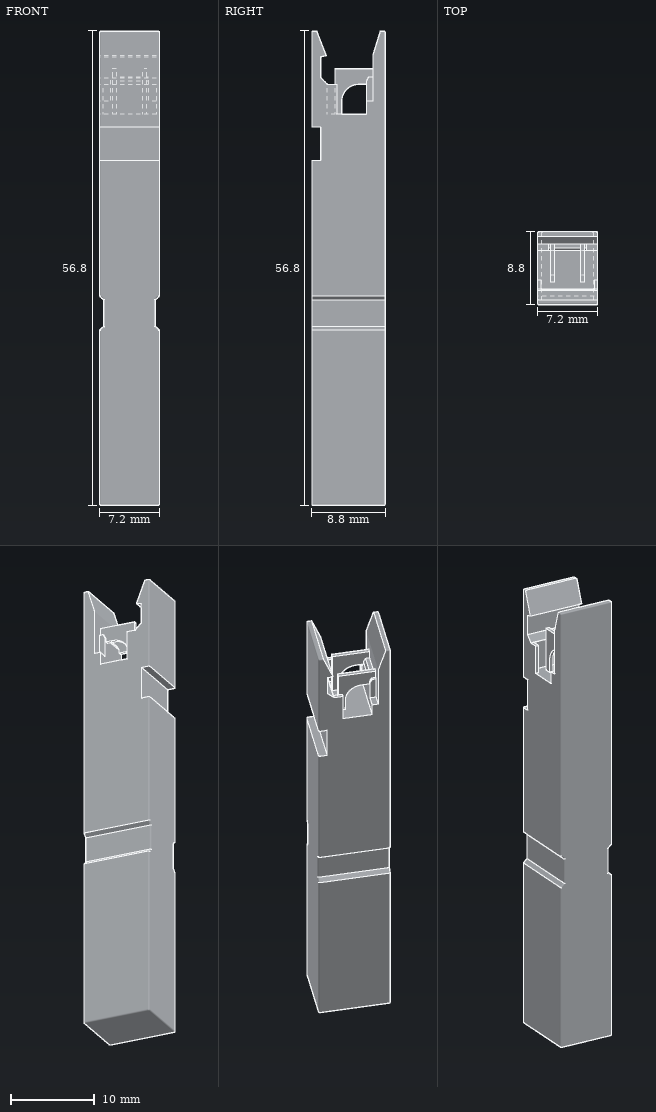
import cadquery as cq

width = 7.2
depth = 8.8
height = 56.8
edge_radius = 0.2

waist_bottom = 21.0
waist_top = 25.05
waist_depth = 0.5
waist_end_rise = 0.45

groove_bottom = 41.3
groove_height = 4.0
groove_depth = 1.05

lip_thickness = 0.6
back_wall_y = 2.9
back_slope_z = height - 2.9
ledge_y = 2.15
ledge_z = height - 8.4
floor_z = height - 9.95
cheek_edge_y = -1.4
shoulder_z = height - 6.4
front_wall_y = -3.3
shoulder_chamfer = 0.8
hook_tip_y = -2.65
hook_tip_z = height - 2.95
hook_underside_drop = 0.15

chamber_width = 6.4
chamber_front_y = -2.55

block_width = 4.6
block_top_z = height - 5.5
bevel_run = 0.25
bevel_drop = 0.5

fin_thickness = 0.45
fin_spacing = 3.6
fin_front_y = -1.65
fin_top_z = height - 4.5
window_front_y = -0.8
window_radius = 2.0


def box(x_range, y_range, z_range):
    """Box from its lower and upper limits along each axis."""
    (x0, x1), (y0, y1), (z0, z1) = x_range, y_range, z_range
    return cq.Workplane("XY").box(x1 - x0, y1 - y0, z1 - z0, centered=False).translate((x0, y0, z0))


def extrude_along_x(outline, length):
    """Extrude a YZ outline symmetrically about X = 0."""
    return outline.extrude(length / 2, both=True)


def make_bar():
    """Waisted bar with its long edges and end edges rounded."""
    half = width / 2
    waist_half = half - waist_depth
    right_side = [
        (half, 0),
        (half, waist_bottom),
        (waist_half, waist_bottom + waist_end_rise),
        (waist_half, waist_top - waist_end_rise),
        (half, waist_top),
        (half, height),
    ]
    left_side = [(-x, z) for x, z in reversed(right_side)]
    bar = (
        cq.Workplane("XZ")
        .polyline(right_side + left_side)
        .close()
        .extrude(depth / 2, both=True)
    )
    outer_edges = bar.faces("<Y or >Y or <Z or >Z").edges()
    return outer_edges.fillet(edge_radius)


def make_groove():
    front = -depth / 2
    return box(
        (-width / 2, width / 2),
        (front, front + groove_depth),
        (groove_bottom, groove_bottom + groove_height),
    )


def make_mouth():
    lip_y = depth / 2 - lip_thickness
    outline = cq.Workplane("YZ").polyline([
        (lip_y, height),
        (back_wall_y, back_slope_z),
        (back_wall_y, ledge_z),
        (ledge_y, ledge_z),
        (ledge_y, floor_z),
        (cheek_edge_y, floor_z),
        (cheek_edge_y, shoulder_z),
        (front_wall_y + shoulder_chamfer, shoulder_z),
        (front_wall_y, shoulder_z + shoulder_chamfer),
        (front_wall_y, hook_tip_z - hook_underside_drop),
        (hook_tip_y, hook_tip_z),
        (-lip_y, height),
    ]).close()
    return extrude_along_x(outline, width)


def make_chamber():
    return box(
        (-chamber_width / 2, chamber_width / 2),
        (chamber_front_y, ledge_y),
        (floor_z, shoulder_z),
    )


def make_block():
    outline = cq.Workplane("YZ").polyline([
        (ledge_y, ledge_z),
        (back_wall_y, ledge_z),
        (back_wall_y, block_top_z),
        (ledge_y + bevel_run, block_top_z),
        (ledge_y, block_top_z - bevel_drop),
    ]).close()
    return extrude_along_x(outline, block_width)


def make_fin(x_center):
    fin = box(
        (-fin_thickness / 2, fin_thickness / 2),
        (fin_front_y, back_wall_y),
        (floor_z, fin_top_z),
    )
    window = box(
        (-fin_thickness, fin_thickness),
        (window_front_y, back_wall_y),
        (floor_z, shoulder_z),
    )
    window = window.edges("|X and >Z and <Y").fillet(window_radius)
    return fin.cut(window).translate((x_center, 0, 0))


result = make_bar().cut(make_groove()).cut(make_mouth()).cut(make_chamber()).union(make_block())
for side in (-1, 1):
    result = result.union(make_fin(side * fin_spacing / 2))